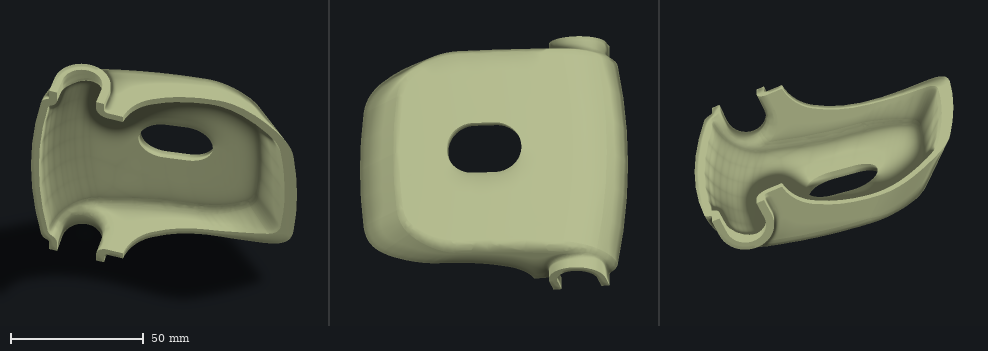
import cadquery as cq
import math

wall = 3.1
overrun = 5.0

length = 99.8
side_half_width = 42.9
draft = math.tan(math.radians(5.2))
end_tip_y = 16.2
end_run = 1.11
corner_length = 27.8
end_half_width = 22.8
end_bulge = 1.4
corner_turn = math.radians(40.0)
end_inset = wall * math.hypot(1, end_run)

bow_radius = 201.7
roof_top = (77.4, 31.7)
roof_radius = 211.6
roof_start_x = 16.0
shoulder = (4.8, 14.8)
loft_top = 39.9

outer_edge_radius = 4.0
inner_edge_radius = 3.0
neck_outer_blend = 1.5
neck_inner_blend = 4.5

corner_max_x = 25.0
roof_edge_y = 22.0
roof_end_min_x = 69.9
joint_z = (35.9, 49.9)
joint_z_span = 4.0
tolerance = 0.1

neck_x = 18.0
neck_center_y = 6.9
bore_radius = 7.7
neck_radius = bore_radius + wall
neck_half_span = 48.0
bar_half_span = neck_half_span + overrun

slot_x = 48.9
slot_length = 28.1
slot_width = 20.0

rim_foot = (36.2, 0.0)
rim_arc_mid = (39.4, 8.2)
rim_arc_end = (44.9, 12.7)
rim_curve = [(51.4, 15.9), (59.2, 18.2), (72.7, 19.7), (80.9, 19.1), (89.0, 17.6), (96.7, 16.2)]


def plan_section(y, side_inset, front_inset):
    """Closed plan outline at depth y."""
    side = side_half_width - side_inset - draft * y
    end = length - front_inset - end_run * (y - end_tip_y)
    corner = end - corner_length
    end_edge = end - end_bulge
    width = corner_length - end_bulge
    height = side - end_half_width
    end_turn = math.pi / 2 - 2 * math.atan(end_bulge / end_half_width)
    mean_turn = (corner_turn + end_turn) / 2
    first = (width * math.sin(mean_turn) - height * math.cos(mean_turn)) / math.sin(end_turn / 2)
    mid = (corner + first * math.cos(corner_turn / 2), side - first * math.sin(corner_turn / 2))
    back = -overrun
    end_quarter = end - end_bulge / 4
    outline = (
        cq.Workplane("XZ", origin=(0, y, 0))
        .moveTo(back, 0)
        .lineTo(back, side)
        .lineTo(corner, side)
        .tangentArcPoint(mid, relative=False)
        .tangentArcPoint((end_edge, end_half_width), relative=False)
        .threePointArc((end_quarter, end_half_width / 2), (end, 0))
        .mirrorX()
    )
    return outline.wire().val()


def moved(point, center, distance):
    """Point moved by a distance toward an arc center."""
    dx, dy = center[0] - point[0], center[1] - point[1]
    scale = distance / math.hypot(dx, dy)
    return (point[0] + dx * scale, point[1] + dy * scale)


def tangent_arc_center(start, previous_center, end):
    """Center of the arc from start to end that continues the previous arc smoothly."""
    toward = moved((0, 0), (previous_center[0] - start[0], previous_center[1] - start[1]), 1)
    dx, dy = end[0] - start[0], end[1] - start[1]
    radius = (dx**2 + dy**2) / (2 * (dx * toward[0] + dy * toward[1]))
    return moved(start, previous_center, radius)


def bowed_envelope(inset):
    """Back and roof profile, turned about an axis parallel to Y to bow the back."""
    roof_center = (roof_top[0], roof_top[1] - roof_radius)
    roof_span = roof_top[0] - roof_start_x
    roof_start_y = roof_center[1] + math.sqrt(roof_radius**2 - roof_span**2)
    roof_start = (roof_start_x, roof_start_y)
    roof_end = (roof_top[0] + roof_span, roof_start_y)
    shoulder_center = tangent_arc_center(roof_start, roof_center, shoulder)
    back_center = tangent_arc_center(shoulder, shoulder_center, (0, 0))
    back_foot = moved((0, 0), back_center, inset)
    inner_end = moved(roof_end, roof_center, inset)
    profile = (
        cq.Workplane("XY")
        .moveTo(back_foot[0], -overrun)
        .lineTo(inner_end[0], -overrun)
        .lineTo(*inner_end)
        .threePointArc(moved(roof_top, roof_center, inset), moved(roof_start, roof_center, inset))
        .tangentArcPoint(moved(shoulder, shoulder_center, inset), relative=False)
        .tangentArcPoint(back_foot, relative=False)
        .close()
    )
    sweep_angle = 90.0
    return (
        profile.revolve(sweep_angle, (bow_radius, 0, 0), (bow_radius, 1, 0))
        .rotate((bow_radius, 0, 0), (bow_radius, 1, 0), -sweep_angle / 2)
    )


def rounded_edge(edge):
    """True for the upright back corners and for the edge around the roof."""
    box = edge.BoundingBox()
    side = abs(edge.Center().z)
    back_corner = box.xmax < corner_max_x and side > end_half_width and box.ylen > 1
    roof_side = abs(box.zmin + box.zmax) > end_half_width and box.ymin > roof_edge_y and box.ylen < 8
    roof_end = box.ymin > roof_edge_y and box.ylen < 1 and box.xmin > roof_end_min_x
    return back_corner or roof_side or roof_end


def body(inset, front_inset, radius):
    """Drafted, bowed block with rounded back corners and roof edge."""
    sections = [plan_section(y, inset, front_inset) for y in (-overrun, loft_top)]
    block = cq.Workplane(cq.Solid.makeLoft(sections, True)).intersect(bowed_envelope(inset))
    return block.newObject([e for e in block.edges().vals() if rounded_edge(e)]).fillet(radius)


def arched_bar(radius):
    """Arched bar running through both side walls."""
    return (
        cq.Workplane("XY", origin=(0, 0, -bar_half_span))
        .moveTo(neck_x - radius, -overrun)
        .lineTo(neck_x - radius, neck_center_y)
        .threePointArc((neck_x, neck_center_y + radius), (neck_x + radius, neck_center_y))
        .lineTo(neck_x + radius, -overrun)
        .close()
        .extrude(2 * bar_half_span)
    )


def with_necks(block, radius, blend):
    """Block joined to the arched bar, with the joints to the side walls rounded."""
    joined = block.union(arched_bar(radius))

    def at_joint(edge):
        box = edge.BoundingBox()
        in_bar = box.xmin > neck_x - radius - tolerance and box.xmax < neck_x + radius + tolerance
        near_wall = joint_z[0] < abs(edge.Center().z) < joint_z[1]
        return in_bar and near_wall and box.zlen < joint_z_span

    return joined.newObject([e for e in joined.edges().vals() if at_joint(e)]).fillet(blend)


def trim_envelope():
    """Space that the part may fill: tilted neck ends, closed below by Y = 0."""
    top_half_span = neck_half_span - draft * loft_top
    return (
        cq.Workplane("YZ", origin=(-overrun, 0, 0))
        .polyline(
            [
                (0, -neck_half_span),
                (loft_top, -top_half_span),
                (loft_top, top_half_span),
                (0, neck_half_span),
            ]
        )
        .close()
        .extrude(length + 2 * overrun)
    )


def rim_cutter():
    """Region under the curved rim that opens the end and side walls."""
    return (
        cq.Workplane("XY", origin=(0, 0, -bar_half_span))
        .moveTo(*rim_foot)
        .threePointArc(rim_arc_mid, rim_arc_end)
        .spline(rim_curve, includeCurrent=True)
        .lineTo(length + 2 * end_run * end_tip_y, end_tip_y)
        .lineTo(length + 2 * end_run * end_tip_y, -overrun)
        .lineTo(rim_foot[0], -overrun)
        .close()
        .extrude(2 * bar_half_span)
    )


def roof_slot():
    """Round-ended opening through the roof."""
    return (
        cq.Workplane("XZ", origin=(slot_x, loft_top, 0))
        .slot2D(slot_length, slot_width)
        .extrude(loft_top)
    )


outside = with_necks(body(0, 0, outer_edge_radius), neck_radius, neck_outer_blend)
cavity = with_necks(body(wall, end_inset, inner_edge_radius), bore_radius, neck_inner_blend)
result = outside.cut(cavity).intersect(trim_envelope()).cut(rim_cutter()).cut(roof_slot())